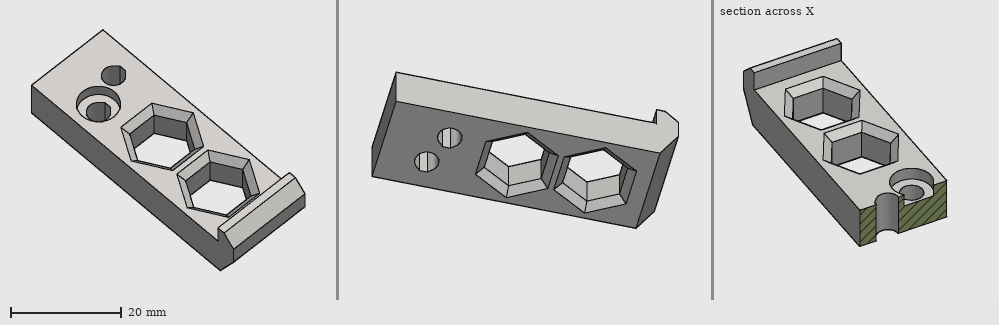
import cadquery as cq
import math

width = 18.0
base_height = 8.5
total_length = 52.85

lip_height = 4.0
lip_thickness = 4.1
lip_chamfer = 2.5
undercut_height = 6.0
undercut_angle = 30.0

hex_sides = 6
hex_first_corner_angle = 90.0

hex_across_flats = 10.65
hex_lead_in = 1.45
hex_first_x = 24.85
hex_pitch = 14.65
hex_count = 2

hole_radius = 2.2
hole_roof_height = 2.35
flank_start_angle = 54.0
plain_hole_center = (8.8, 12.2)
screw_hole_center = (11.5, 5.8)
counterbore_diameter = 8.0
counterbore_depth = 2.5


def make_body():
    """Bar with hooked end, extruded across the full width from Y = 0."""
    top = base_height + lip_height
    undercut_length = undercut_height * math.tan(math.radians(undercut_angle))
    lip_x = total_length - lip_thickness
    profile = (
        cq.Workplane("XZ")
        .moveTo(0, 0)
        .lineTo(total_length - undercut_length, 0)
        .lineTo(total_length, undercut_height)
        .lineTo(total_length, top - lip_chamfer)
        .lineTo(total_length - lip_chamfer, top)
        .lineTo(lip_x, top)
        .lineTo(lip_x, base_height)
        .lineTo(0, base_height)
        .close()
    )
    return profile.extrude(-width)


def hexagon(across_flats):
    """Corners of a hexagon centred on the origin with one corner on +Y."""
    corner_radius = across_flats / 2 / math.cos(math.pi / hex_sides)
    corners = []
    for i in range(hex_sides):
        angle = math.radians(hex_first_corner_angle + i * 360 / hex_sides)
        corners.append((corner_radius * math.cos(angle), corner_radius * math.sin(angle)))
    return corners


def make_hex_window(center_x):
    """Cutter for a hexagonal window that widens at 45 degrees to the top and bottom faces."""
    outer_across_flats = hex_across_flats + 2 * hex_lead_in
    shaft = cq.Workplane("XY").polyline(hexagon(hex_across_flats)).close().extrude(base_height)
    bottom_lead_in = (
        cq.Workplane("XY")
        .polyline(hexagon(outer_across_flats))
        .close()
        .workplane(offset=hex_lead_in)
        .polyline(hexagon(hex_across_flats))
        .close()
        .loft(ruled=True)
    )
    top_lead_in = bottom_lead_in.mirror("XY", (0, 0, base_height / 2))
    window = shaft.union(bottom_lead_in).union(top_lead_in)
    return window.translate((center_x, width / 2, 0))


def make_roofed_hole(center):
    """Cutter for a through hole with the flat-topped 45 degree roof."""
    flank_x = hole_radius * math.cos(math.radians(flank_start_angle))
    flank_y = hole_radius * math.sin(math.radians(flank_start_angle))
    roof_half_width = flank_x - (hole_roof_height - flank_y)
    return (
        cq.Workplane("XY")
        .moveTo(flank_x, flank_y)
        .lineTo(roof_half_width, hole_roof_height)
        .lineTo(-roof_half_width, hole_roof_height)
        .lineTo(-flank_x, flank_y)
        .threePointArc((0, -hole_radius), (flank_x, flank_y))
        .close()
        .extrude(base_height)
        .translate((*center, 0))
    )


def make_counterbore(center):
    """Cutter for the round screw head recess in the top face."""
    return (
        cq.Workplane("XY")
        .workplane(offset=base_height - counterbore_depth)
        .center(*center)
        .circle(counterbore_diameter / 2)
        .extrude(counterbore_depth)
    )


result = make_body()
for index in range(hex_count):
    result = result.cut(make_hex_window(hex_first_x + index * hex_pitch))
for hole_center in (plain_hole_center, screw_hole_center):
    result = result.cut(make_roofed_hole(hole_center))
result = result.cut(make_counterbore(screw_hole_center))